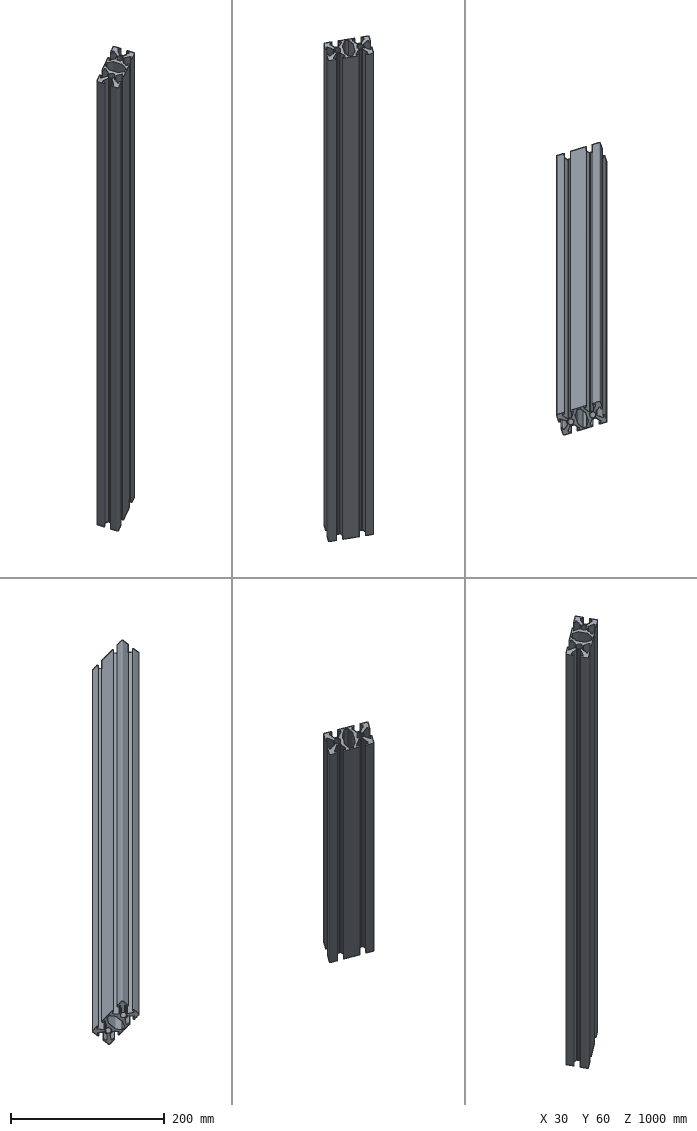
import cadquery as cq

CELL = 30.0
WIDTH = CELL
DEPTH = 2 * CELL
LENGTH = 1000.0
CORNER_RADIUS = 1.5

SLOT_OPENING = 8.2
MOUTH_RADIUS = 0.5
LIP_THICKNESS = 2.2
LIP_INNER_RADIUS = 0.8
CAVITY_WIDTH = 15.0
CAVITY_SIDE_DEPTH = 3.5
CAVITY_RADIUS = 0.5
FLOOR_WIDTH = 5.0
SLOT_DEPTH = 10.0
CREST_WIDTH = 2.0
CREST_HEIGHT = 0.5

BORE_DIAMETER = 8.0

CHAMBER_WALL = 2.0
CHAMBER_WIDTH = WIDTH - 2 * CHAMBER_WALL
CHAMBER_SIDE = 5.0
CHAMBER_HEIGHT = 14.0
CHAMBER_TOP = 12.0
CHAMBER_RADIUS = 1.0

SLOT_PLACES = [
    (0, DEPTH / 2, 0),
    (0, -DEPTH / 2, 180),
    (-WIDTH / 2, CELL / 2, 90),
    (-WIDTH / 2, -CELL / 2, 90),
    (WIDTH / 2, CELL / 2, -90),
    (WIDTH / 2, -CELL / 2, -90),
]


def prism(points):
    return cq.Workplane("XY").polyline(points).close().extrude(LENGTH)


def edges_at(solid, points):
    """Lengthwise edges of the solid nearest to the given XY points."""
    found = []
    for x, y in points:
        selector = cq.NearestToPointSelector((x, y, LENGTH / 2))
        found += solid.edges("|Z").edges(selector).vals()
    return solid.newObject(found)


def both_sides(x, y):
    return [(-x, y), (x, y)]


def make_slot():
    """Slot void with its mouth on Y = 0, reaching towards -Y to a slightly raised floor."""
    mouth = SLOT_OPENING / 2
    cavity = CAVITY_WIDTH / 2
    left = [
        (-mouth, 0),
        (-mouth, -LIP_THICKNESS),
        (-cavity, -LIP_THICKNESS),
        (-cavity, -CAVITY_SIDE_DEPTH),
        (-FLOOR_WIDTH / 2, -SLOT_DEPTH),
        (-CREST_WIDTH / 2, CREST_HEIGHT - SLOT_DEPTH),
    ]
    right = [(-x, y) for x, y in reversed(left)]
    slot = prism(left + right)
    slot = edges_at(slot, both_sides(mouth, -LIP_THICKNESS)).fillet(LIP_INNER_RADIUS)
    cavity_corners = both_sides(cavity, -LIP_THICKNESS) + both_sides(cavity, -CAVITY_SIDE_DEPTH)
    return edges_at(slot, cavity_corners).fillet(CAVITY_RADIUS)


def round_mouths(body):
    """Round both outer corners of every slot mouth."""
    corners = []
    for x, y, turn in SLOT_PLACES:
        for offset in (-SLOT_OPENING / 2, SLOT_OPENING / 2):
            if turn in (0, 180):
                corners.append((x + offset, y))
            else:
                corners.append((x, y + offset))
    return edges_at(body, corners).fillet(MOUTH_RADIUS)


def make_chamber():
    side_x = CHAMBER_WIDTH / 2
    side_y = CHAMBER_SIDE / 2
    top_x = CHAMBER_TOP / 2
    top_y = CHAMBER_HEIGHT / 2
    upper = [(side_x, side_y), (top_x, top_y), (-top_x, top_y), (-side_x, side_y)]
    lower = [(-x, -y) for x, y in upper]
    top_corners = both_sides(top_x, top_y) + both_sides(top_x, -top_y)
    return edges_at(prism(upper + lower), top_corners).fillet(CHAMBER_RADIUS)


def make_bores():
    centres = [(0, -CELL / 2), (0, CELL / 2)]
    return cq.Workplane("XY").pushPoints(centres).circle(BORE_DIAMETER / 2).extrude(LENGTH)


body = cq.Workplane("XY").rect(WIDTH, DEPTH).extrude(LENGTH).edges("|Z").fillet(CORNER_RADIUS)

slot_void = make_slot()
for x, y, turn in SLOT_PLACES:
    body = body.cut(slot_void.rotate((0, 0, 0), (0, 0, 1), turn).translate((x, y, 0)))
body = round_mouths(body)

result = body.cut(make_chamber()).cut(make_bores())